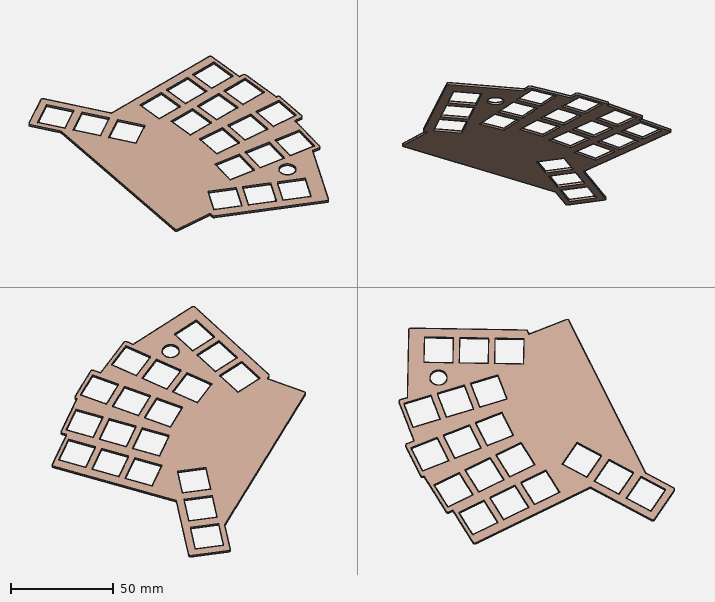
import cadquery as cq
import math

THICKNESS = 1.2
CUTOUT = 14.0
KEYS_PER_GROUP = 3
FINGER_PITCH = 17.25
THUMB_PITCH = 18.25
HOLE_DIAMETER = 8.3
HOLE_CENTER = (41.9, 25.45)
CORNER_RADIUS = 1.0

OUTER = (-35.3, 21.85, 5)
RING = (-16.4, 26.7, 5)
MIDDLE = (4.8, 29.2, 0)
INDEX = (26.6, 23.15, -5)
INNER = (48.6, 3.5, -25)
THUMB = (-43.05, -30.55, 35)
PLATE = (0, 0, 0)

FINGER_COLUMNS = [OUTER, RING, MIDDLE, INDEX, INNER]

FINGER_TOP_RIM = 1.95
FINGER_TOP = FINGER_PITCH + CUTOUT / 2 + FINGER_TOP_RIM
OUTER_LEFT = 11.75
RING_LEFT = 9.7
MIDDLE_SIDE = 9.9
INDEX_RIGHT = 9.5
INNER_TOP = 32.1
INNER_RIGHT = 11.8
THUMB_TOP = 10.85
THUMB_BOTTOM = 9.8
THUMB_LEFT = 29.1

STEP_Y = -24.8
PALM_RIGHT = 45.95
PALM_BOTTOM = -45.65


def edge_line(group, side, distance):
    """Outline edge as (unit normal, offset): all points p with p . normal = offset."""
    side_angles = {"right": 0, "top": 90, "left": 180, "bottom": 270}
    x, y, rotation = group
    angle = math.radians(rotation + side_angles[side])
    normal = (math.cos(angle), math.sin(angle))
    return normal, x * normal[0] + y * normal[1] + distance


def crossing(first, second):
    """Point where two edge lines meet."""
    (ax, ay), a = first
    (bx, by), b = second
    det = ax * by - ay * bx
    return (a * by - b * ay) / det, (ax * b - bx * a) / det


def turns_outward(first, second):
    """True where the clockwise outline has an outward corner."""
    (ax, ay), _ = first
    (bx, by), _ = second
    return ax * by - ay * bx < 0


def make_plate():
    edges = [
        edge_line(OUTER, "left", OUTER_LEFT),
        edge_line(OUTER, "top", FINGER_TOP),
        edge_line(RING, "left", RING_LEFT),
        edge_line(RING, "top", FINGER_TOP),
        edge_line(MIDDLE, "left", MIDDLE_SIDE),
        edge_line(MIDDLE, "top", FINGER_TOP),
        edge_line(MIDDLE, "right", MIDDLE_SIDE),
        edge_line(INDEX, "top", FINGER_TOP),
        edge_line(INDEX, "right", INDEX_RIGHT),
        edge_line(INNER, "top", INNER_TOP),
        edge_line(INNER, "right", INNER_RIGHT),
        edge_line(PLATE, "bottom", -STEP_Y),
        edge_line(PLATE, "right", PALM_RIGHT),
        edge_line(PLATE, "bottom", -PALM_BOTTOM),
        edge_line(THUMB, "bottom", THUMB_BOTTOM),
        edge_line(THUMB, "left", THUMB_LEFT),
        edge_line(THUMB, "top", THUMB_TOP),
    ]
    corners = []
    outward = []
    for first, second in zip(edges, edges[1:] + edges[:1]):
        corner = crossing(first, second)
        corners.append(corner)
        if turns_outward(first, second):
            outward.append(corner)

    plate = cq.Workplane("XY").polyline(corners).close().extrude(THICKNESS)
    for x, y in outward:
        corner_edge = cq.selectors.NearestToPointSelector((x, y, THICKNESS / 2))
        plate = plate.edges("|Z").edges(corner_edge).fillet(CORNER_RADIUS)
    return plate


def key_cutouts(group, pitch, columns, rows):
    """Square openings spaced evenly about the middle key of a group."""
    x, y, rotation = group
    return (
        cq.Workplane("XY")
        .rarray(pitch, pitch, columns, rows)
        .rect(CUTOUT, CUTOUT)
        .extrude(THICKNESS)
        .rotate((0, 0, 0), (0, 0, 1), rotation)
        .translate((x, y, 0))
    )


result = make_plate()
for column in FINGER_COLUMNS:
    result = result.cut(key_cutouts(column, FINGER_PITCH, 1, KEYS_PER_GROUP))
result = result.cut(key_cutouts(THUMB, THUMB_PITCH, KEYS_PER_GROUP, 1))

hole = cq.Workplane("XY").center(*HOLE_CENTER).circle(HOLE_DIAMETER / 2).extrude(THICKNESS)
result = result.cut(hole)